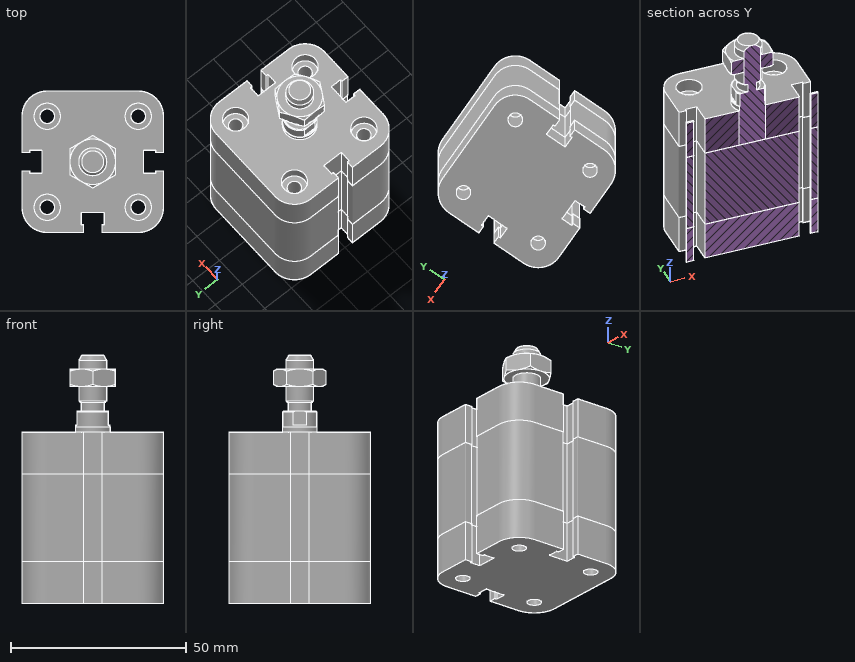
import cadquery as cq
import math

width = 40.5
cap_height = 12.0
barrel_height = 25.0
hole_offset = 13.0
corner_radius = width / 2 - hole_offset
hole_diameter = 4.1
counterbore_diameter = 7.5
counterbore_depth = 4.0

slot_neck_width = 5.2
slot_inner_width = 6.5
slot_depth = 5.7
slot_lip_thickness = 2.3
barrel_lip_radius = 0.2

barrel_bottom = cap_height
barrel_top = barrel_bottom + barrel_height
housing_top = barrel_top + cap_height

rod_diameter = 10.0
collar_top = 1.5
wrench_diameter = 9.8
wrench_top = 6.0
wrench_chamfer = 0.25
flats_width = 9.0
flats_bottom = 2.0
neck_diameter = 6.7
neck_top = 8.5
thread_diameter = 8.0
thread_lower_chamfer = 0.4
rod_top = 22.0
tip_diameter = 6.25
tip_angle = 30.0

nut_bottom = 13.0
nut_height = 5.0
nut_across_flats = 13.0
nut_face_diameter = nut_across_flats
nut_chamfer_angle = 30.0


def slot_cutter(height):
    """T-slot that opens toward -Y."""
    outer_y = -width / 2
    lip_y = outer_y + slot_lip_thickness
    floor_y = outer_y + slot_depth
    neck = cq.Workplane("XY").rect(slot_neck_width, slot_lip_thickness).extrude(height)
    neck = neck.translate((0, outer_y + slot_lip_thickness / 2, 0))
    chamber = cq.Workplane("XY").rect(slot_inner_width, floor_y - lip_y).extrude(height)
    chamber = chamber.translate((0, (lip_y + floor_y) / 2, 0))
    return neck.union(chamber)


def profile_block(bottom, height):
    """Rounded square block with three T-slots and four mounting holes."""
    block = cq.Workplane("XY").rect(width, width).extrude(height)
    block = block.edges("|Z").fillet(corner_radius)
    for angle in (-90, 0, 90):
        block = block.cut(slot_cutter(height).rotate((0, 0, 0), (0, 0, 1), angle))
    hole_spacing = 2 * hole_offset
    block = block.faces(">Z").workplane(origin=(0, 0, height))
    block = block.rect(hole_spacing, hole_spacing, forConstruction=True).vertices().hole(hole_diameter)
    return block.translate((0, 0, bottom))


def build_bottom_cap():
    """Plain end cap at the base of the housing."""
    return profile_block(0, cap_height)


def build_barrel():
    """Barrel with rounded slot lips."""
    barrel = profile_block(barrel_bottom, barrel_height)
    half_neck = slot_neck_width / 2
    lip_ends = (width / 2, width / 2 - slot_lip_thickness)
    middle_z = barrel_bottom + barrel_height / 2
    for side in (-half_neck, half_neck):
        for reach in lip_ends:
            for x, y in ((side, -reach), (-reach, side), (reach, side)):
                edge = cq.selectors.NearestToPointSelector((x, y, middle_z))
                barrel = barrel.edges("|Z").edges(edge).fillet(barrel_lip_radius)
    return barrel


def build_top_cap():
    """End cap with counterbored mounting holes and a bore for the rod."""
    hole_spacing = 2 * hole_offset
    counterbores = (
        cq.Workplane("XY", origin=(0, 0, housing_top))
        .rect(hole_spacing, hole_spacing, forConstruction=True)
        .vertices()
        .circle(counterbore_diameter / 2)
        .extrude(-counterbore_depth)
    )
    rod_bore = cq.Workplane("XY", origin=(0, 0, barrel_top)).circle(rod_diameter / 2).extrude(cap_height)
    return profile_block(barrel_top, cap_height).cut(counterbores).cut(rod_bore)


def build_rod():
    """Turned rod that passes through the top cap and rests on the barrel."""
    rod_radius = rod_diameter / 2
    wrench_radius = wrench_diameter / 2
    neck_radius = neck_diameter / 2
    thread_radius = thread_diameter / 2
    tip_radius = tip_diameter / 2
    tip_height = (thread_radius - tip_radius) / math.tan(math.radians(tip_angle))
    rod = (
        cq.Workplane("XZ")
        .moveTo(0, -cap_height)
        .lineTo(rod_radius, -cap_height)
        .lineTo(rod_radius, collar_top)
        .lineTo(wrench_radius, collar_top)
        .lineTo(wrench_radius, wrench_top - wrench_chamfer)
        .lineTo(wrench_radius - wrench_chamfer, wrench_top)
        .lineTo(neck_radius, wrench_top)
        .lineTo(neck_radius, neck_top)
        .lineTo(thread_radius - thread_lower_chamfer, neck_top)
        .lineTo(thread_radius, neck_top + thread_lower_chamfer)
        .lineTo(thread_radius, rod_top - tip_height)
        .lineTo(tip_radius, rod_top)
        .lineTo(0, rod_top)
        .close()
        .revolve(360, (0, 0, 0), (0, 1, 0))
    )
    flats_height = wrench_top - flats_bottom
    flats_plane = cq.Workplane("XY", origin=(0, 0, flats_bottom))
    around_wrench = flats_plane.circle(rod_diameter).extrude(flats_height)
    between_flats = flats_plane.rect(flats_width, 2 * rod_diameter).extrude(flats_height)
    rod = rod.cut(around_wrench.cut(between_flats))
    return rod.translate((0, 0, housing_top))


def build_nut():
    """Hexagon nut with corners along Y, chamfered at both ends."""
    corner_diameter = nut_across_flats / math.cos(math.radians(30))
    hexagon = cq.Workplane("XY").polygon(6, corner_diameter).extrude(nut_height)
    hexagon = hexagon.rotate((0, 0, 0), (0, 0, 1), 90)
    face_radius = nut_face_diameter / 2
    cone_radius = corner_diameter / 2
    cone_drop = (cone_radius - face_radius) * math.tan(math.radians(nut_chamfer_angle))
    chamfer_envelope = (
        cq.Workplane("XZ")
        .moveTo(0, 0)
        .lineTo(face_radius, 0)
        .lineTo(cone_radius, cone_drop)
        .lineTo(cone_radius, nut_height - cone_drop)
        .lineTo(face_radius, nut_height)
        .lineTo(0, nut_height)
        .close()
        .revolve(360, (0, 0, 0), (0, 1, 0))
    )
    thread_bore = cq.Workplane("XY").circle(thread_diameter / 2).extrude(nut_height)
    nut = hexagon.intersect(chamfer_envelope).cut(thread_bore)
    return nut.translate((0, 0, housing_top + nut_bottom))


bottom_cap = build_bottom_cap()
barrel = build_barrel()
top_cap = build_top_cap()
rod = build_rod()
nut = build_nut()

result = cq.Compound.makeCompound([bottom_cap.val(), barrel.val(), top_cap.val(), rod.val(), nut.val()])